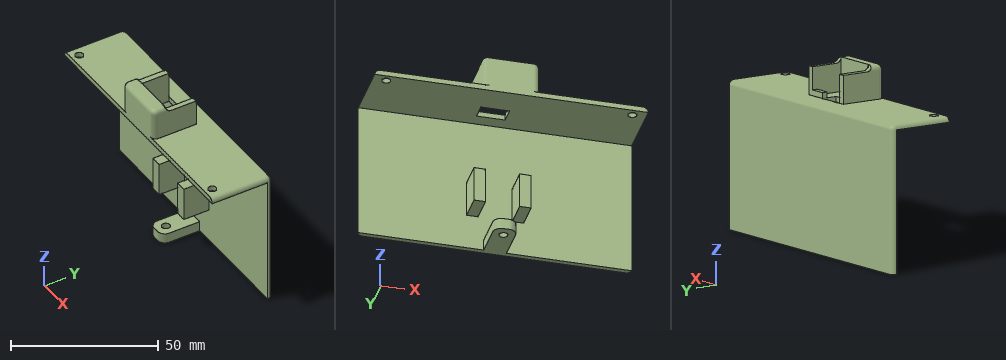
import cadquery as cq

LENGTH = 96.0
DEPTH = 24.0
SHELF_TOP = 52.0
WALL = 2.0
EDGE_RADIUS = 2.0
PLATE_FRONT = DEPTH - WALL
SHELF_BOTTOM = SHELF_TOP - WALL

HOOD_WIDTH = 20.0
HOOD_DEPTH = 17.0
HOOD_TOP = 64.0
SIDE_WALL_TOP = HOOD_TOP - EDGE_RADIUS
FRONT_WALL = 5.0
POCKET_LEFT = -7.8
POCKET_RIGHT = HOOD_WIDTH / 2 - WALL

SILL_THICKNESS = 2.0
SILL_HEIGHT = 2.0
WINDOW_WIDTH = 10.0
WINDOW_FRONT = 11.2

POST_WIDTH = 4.0
POST_LENGTH = 10.0
POST_BOTTOM = 13.0
POST_HEIGHT = 13.0
POST_CENTER_X = (HOOD_WIDTH - POST_WIDTH) / 2

TAB_WIDTH = 8.0
TAB_LENGTH = 15.0
TAB_THICKNESS = 4.0
TAB_CORNER_RADIUS = 3.0
TAB_HOLE_FROM_TIP = 4.0

HOLE_DIAMETER = 3.0
SHELF_HOLE_X = 43.15
SHELF_HOLE_Y = 3.0

CLEARANCE = 1.0


def block(x_min, x_max, y_min, y_max, z_min, z_max):
    """Axis-aligned box given by its limits."""
    size = (x_max - x_min, y_max - y_min, z_max - z_min)
    return cq.Workplane("XY").box(*size, centered=False).translate((x_min, y_min, z_min))


def centered_block(width, center_x, y_min, y_max, z_min, z_max):
    """Axis-aligned box centred on center_x."""
    return block(center_x - width / 2, center_x + width / 2, y_min, y_max, z_min, z_max)


def vertical_hole(x, y, z_min, z_max):
    """Cutter for a screw hole along Z."""
    return (
        cq.Workplane("XY", origin=(x, y, z_min))
        .circle(HOLE_DIAMETER / 2)
        .extrude(z_max - z_min)
    )


def make_bracket():
    """Upright plate and shelf, rounded on the outside, with the shelf holes."""
    outer = centered_block(LENGTH, 0, 0, DEPTH, 0, SHELF_TOP)
    outer = outer.edges("(>Y and |Z) or (>Z and >Y) or (>Z and |Y)").fillet(EDGE_RADIUS)
    bracket = outer.cut(centered_block(LENGTH, 0, 0, PLATE_FRONT, 0, SHELF_BOTTOM))
    for x in (-SHELF_HOLE_X, SHELF_HOLE_X):
        bracket = bracket.cut(vertical_hole(x, SHELF_HOLE_Y, SHELF_BOTTOM, SHELF_TOP))
    return bracket


def make_hood():
    """Rounded hood with lowered side walls, hollow behind the front wall."""
    hood = centered_block(HOOD_WIDTH, 0, 0, HOOD_DEPTH, SHELF_BOTTOM, HOOD_TOP)
    hood = hood.edges("(<Y and |Z) or (>Z and <Y) or (>Z and |Y)").fillet(EDGE_RADIUS)

    step_foot = FRONT_WALL + EDGE_RADIUS
    arc_offset = EDGE_RADIUS * 0.5 ** 0.5
    cutter_back = HOOD_DEPTH + CLEARANCE
    cutter_top = HOOD_TOP + CLEARANCE
    step = (
        cq.Workplane("YZ", origin=(-HOOD_WIDTH / 2 - CLEARANCE, 0, 0))
        .moveTo(FRONT_WALL, HOOD_TOP)
        .threePointArc((step_foot - arc_offset, HOOD_TOP - arc_offset), (step_foot, SIDE_WALL_TOP))
        .lineTo(cutter_back, SIDE_WALL_TOP)
        .lineTo(cutter_back, cutter_top)
        .lineTo(FRONT_WALL, cutter_top)
        .close()
        .extrude(HOOD_WIDTH + 2 * CLEARANCE)
    )
    pocket = block(POCKET_LEFT, POCKET_RIGHT, FRONT_WALL, cutter_back, SHELF_TOP, cutter_top)
    sill = block(
        POCKET_LEFT,
        POCKET_RIGHT,
        HOOD_DEPTH - SILL_THICKNESS,
        HOOD_DEPTH,
        SHELF_TOP,
        SHELF_TOP + SILL_HEIGHT,
    )
    return hood.cut(step).cut(pocket).union(sill)


def make_window():
    """Cutter for the window through the sill and the shelf."""
    return block(
        POCKET_LEFT,
        POCKET_LEFT + WINDOW_WIDTH,
        WINDOW_FRONT,
        HOOD_DEPTH,
        SHELF_BOTTOM,
        SHELF_TOP + SILL_HEIGHT,
    )


def make_post(center_x):
    """Rectangular post standing out from the upright plate."""
    return centered_block(
        POST_WIDTH,
        center_x,
        PLATE_FRONT - POST_LENGTH,
        PLATE_FRONT,
        POST_BOTTOM,
        POST_BOTTOM + POST_HEIGHT,
    )


def make_tab():
    """Foot tab with rounded tip corners and a screw hole."""
    tip_y = PLATE_FRONT - TAB_LENGTH
    tab = centered_block(TAB_WIDTH, 0, tip_y, PLATE_FRONT, 0, TAB_THICKNESS)
    tab = tab.edges("<Y and |Z").fillet(TAB_CORNER_RADIUS)
    return tab.cut(vertical_hole(0, tip_y + TAB_HOLE_FROM_TIP, 0, TAB_THICKNESS))


result = make_bracket().union(make_hood()).cut(make_window()).union(make_tab())
for post_x in (-POST_CENTER_X, POST_CENTER_X):
    result = result.union(make_post(post_x))